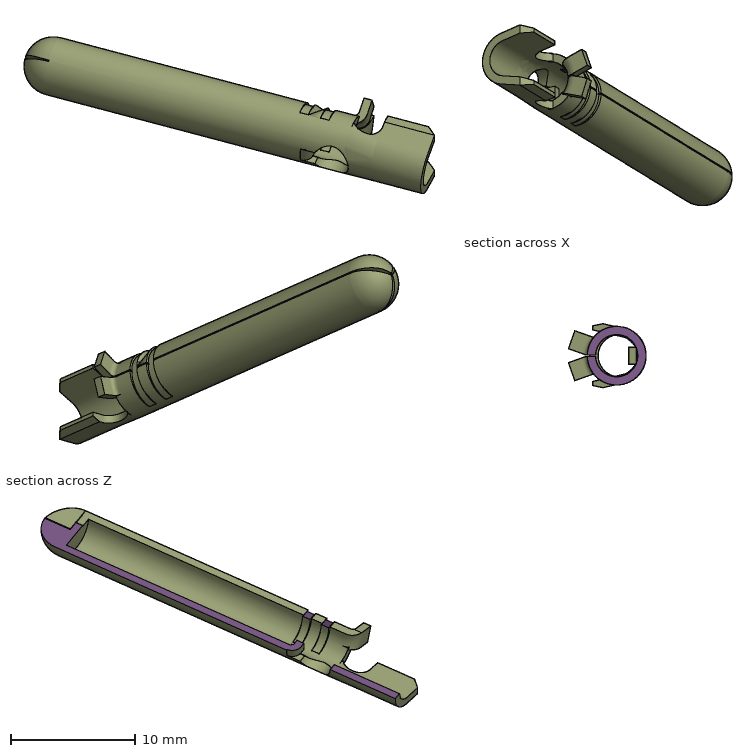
import cadquery as cq
import math

total_length = 34.35
sheet = 0.7
clear = 13.75
arc_middle = math.sqrt(0.5)

barrel_radius = 2.37
bore_radius = barrel_radius - sheet
bore_start = barrel_radius + sheet
barrel_end = 27.73
seam_gap = 0.1

slit_width = 0.3
slit_directions = (0, 120, 240)

band_width = 0.72
band_inset = 0.2
band_starts = (23.3, 25.05)

window_x = 26.7
window_radius = 1.5
lance_root = 24.12
lance_width = 1.37
lance_bend_radius = 0.82
lance_depth = 1.3

tab_bend_start = 27.25
tab_bend_radius = 0.35
tab_width = 1.55
tab_reach = 3.85
tab_angle = 19.5
tab_root_width = 2.2

crimp_start = 30.1
crimp_radius = 2.25
crimp_splay = 13
wing_top = 1.92
wing_widest = 1.1
wing_tip_drop = 0.17
wing_corner = 0.8

neck_floor = -0.258
neck_floor_x = 29.15
neck_left_top = 0.4
neck_corner_radius = crimp_start - neck_floor_x


def x_cylinder(radius, start, end, shift_y=0):
    """Cylinder along X between two X positions."""
    return cq.Workplane("YZ", origin=(start, shift_y, 0)).circle(radius).extrude(end - start)


def x_range_box(start, end, y_low, y_high, width):
    """Box centred on Z = 0 between the given X and Y limits."""
    return cq.Workplane("XY").box(end - start, y_high - y_low, width).translate(
        ((start + end) / 2, (y_low + y_high) / 2, 0)
    )


def make_barrel():
    """Round-nosed tube, with the wall removed where the tabs bend away."""
    tube = (
        cq.Workplane("XY")
        .moveTo(0, 0)
        .threePointArc(
            (barrel_radius * (1 - arc_middle), barrel_radius * arc_middle),
            (barrel_radius, barrel_radius),
        )
        .lineTo(barrel_end, barrel_radius)
        .lineTo(barrel_end, bore_radius)
        .lineTo(bore_start, bore_radius)
        .lineTo(bore_start, 0)
        .close()
        .revolve(360, (0, 0, 0), (1, 0, 0))
    )
    return tube.cut(x_range_box(tab_bend_start, barrel_end, 0, clear, tab_root_width))


def nose_slit(direction):
    """Slit from the nose axis to the surface, widest half way, as deep as the nose is long."""
    half = slit_width / 2
    end_half = seam_gap / 2
    lens = (
        cq.Workplane("YZ")
        .moveTo(0, end_half)
        .threePointArc((barrel_radius / 2, half), (barrel_radius, end_half))
        .lineTo(barrel_radius, -end_half)
        .threePointArc((barrel_radius / 2, -half), (0, -end_half))
        .close()
        .extrude(barrel_radius)
    )
    return lens.rotate((0, 0, 0), (1, 0, 0), direction)


def band_space(start):
    """The +Y half of space over one band's length."""
    return x_range_box(start, start + band_width, 0, clear, clear)


def make_band(start):
    """Half ring closing the +Y side of the barrel, set inward to leave a shallow groove outside."""
    end = start + band_width
    ring = x_cylinder(barrel_radius, start, end, -band_inset)
    ring = ring.cut(x_cylinder(bore_radius, start, end, -band_inset))
    return ring.intersect(band_space(start))


def window_cut():
    hole = cq.Workplane("XZ", origin=(window_x, 0, 0)).circle(window_radius).extrude(clear)
    notch = x_range_box(lance_root, window_x, -clear, 0, lance_width)
    return hole.union(notch)


def make_lance():
    """Flat strip bent a quarter turn into the bore, flush with the long edges of its notch."""
    outer = -math.sqrt(barrel_radius**2 - lance_width**2 / 4)
    inner = outer + sheet
    centre_y = outer + lance_bend_radius
    inner_radius = lance_bend_radius - sheet
    lance_end = outer + lance_depth
    return (
        cq.Workplane("XY", origin=(0, 0, -lance_width / 2))
        .moveTo(lance_root, outer)
        .threePointArc(
            (lance_root + lance_bend_radius * arc_middle, centre_y - lance_bend_radius * arc_middle),
            (lance_root + lance_bend_radius, centre_y),
        )
        .lineTo(lance_root + lance_bend_radius, lance_end)
        .lineTo(lance_root + inner_radius, lance_end)
        .lineTo(lance_root + inner_radius, centre_y)
        .threePointArc(
            (lance_root + inner_radius * arc_middle, centre_y - inner_radius * arc_middle),
            (lance_root, inner),
        )
        .close()
        .extrude(lance_width)
    )


def make_tab(side):
    """Tab flared outward from the barrel end; side is +1 or -1 along Z."""
    face = tab_bend_start + tab_bend_radius
    outer_bend = tab_bend_radius + sheet
    centre_r = barrel_radius + tab_bend_radius
    flare = (
        cq.Workplane("XY")
        .moveTo(tab_bend_start, bore_radius)
        .threePointArc(
            (tab_bend_start + outer_bend * arc_middle, centre_r - outer_bend * arc_middle),
            (tab_bend_start + outer_bend, centre_r),
        )
        .lineTo(tab_bend_start + outer_bend, tab_reach + sheet)
        .lineTo(face, tab_reach + sheet)
        .lineTo(face, centre_r)
        .threePointArc(
            (tab_bend_start + tab_bend_radius * arc_middle, centre_r - tab_bend_radius * arc_middle),
            (tab_bend_start, barrel_radius),
        )
        .close()
        .revolve(360, (0, 0, 0), (1, 0, 0))
    )
    blank = x_range_box(tab_bend_start, total_length, 0, tab_reach, tab_width)
    blank = blank.rotate((0, 0, 0), (1, 0, 0), side * tab_angle)
    return flare.intersect(blank)


def u_section(start, radius, splay, top):
    """Closed U outline in a YZ plane: a round floor with two straight walls leaning outward."""
    lean = math.radians(splay)
    centre_y = radius - barrel_radius

    def wall_points(r):
        low = (centre_y - r * math.sin(lean), r * math.cos(lean))
        return low, (top, low[1] + (top - low[0]) * math.tan(lean))

    outer_low, outer_top = wall_points(radius)
    inner_low, inner_top = wall_points(radius - sheet)
    return (
        cq.Workplane("YZ", origin=(start, 0, 0))
        .moveTo(*outer_top)
        .lineTo(*outer_low)
        .threePointArc((-barrel_radius, 0), (outer_low[0], -outer_low[1]))
        .lineTo(outer_top[0], -outer_top[1])
        .lineTo(inner_top[0], -inner_top[1])
        .lineTo(inner_low[0], -inner_low[1])
        .threePointArc((sheet - barrel_radius, 0), inner_low)
        .lineTo(*inner_top)
        .close()
    )


def make_neck():
    """Transition from the barrel's lower half to the crimp, with the opening above it."""
    barrel_side = u_section(barrel_end, barrel_radius, 0, neck_left_top).wire().val()
    crimp_side = u_section(crimp_start, crimp_radius, crimp_splay, wing_widest).wire().val()
    neck = cq.Workplane(cq.Solid.makeLoft([barrel_side, crimp_side], True))
    rise = neck_left_top - neck_floor
    run = neck_floor_x - barrel_end
    left_radius = (rise**2 + run**2) / (2 * rise)
    half_angle = math.atan2(run, left_radius - rise) / 2
    left_mid = (
        neck_floor_x - left_radius * math.sin(half_angle),
        neck_floor + left_radius * (1 - math.cos(half_angle)),
    )
    right_mid = (
        neck_floor_x + neck_corner_radius * arc_middle,
        neck_floor + neck_corner_radius * (1 - arc_middle),
    )
    opening = (
        cq.Workplane("XY", origin=(0, 0, -clear / 2))
        .moveTo(barrel_end, neck_left_top)
        .threePointArc(left_mid, (neck_floor_x, neck_floor))
        .threePointArc(right_mid, (crimp_start, neck_floor + neck_corner_radius))
        .lineTo(crimp_start, clear)
        .lineTo(barrel_end, clear)
        .close()
        .extrude(clear)
    )
    return neck.cut(opening)


def make_crimp():
    """U crimp with bevelled wing tips and clipped rear corners."""
    crimp = u_section(crimp_start, crimp_radius, crimp_splay, wing_top).extrude(total_length - crimp_start)
    lean = math.radians(crimp_splay)
    widest = crimp_radius / math.cos(lean) + (wing_widest - crimp_radius + barrel_radius) * math.tan(lean)
    tip = widest - wing_tip_drop
    envelope = (
        cq.Workplane("YZ", origin=(crimp_start, 0, 0))
        .polyline(
            [
                (-clear, -widest), (wing_widest, -widest), (wing_top, -tip),
                (wing_top, tip), (wing_widest, widest), (-clear, widest),
            ]
        )
        .close()
        .extrude(total_length - crimp_start)
    )
    corner = (
        cq.Workplane("XY", origin=(0, 0, -clear / 2))
        .polyline(
            [
                (total_length, wing_widest),
                (total_length, wing_top),
                (total_length - wing_corner, wing_top),
            ]
        )
        .close()
        .extrude(clear)
    )
    return crimp.intersect(envelope).cut(corner)


def make_contact():
    """The one-piece sheet metal contact."""
    contact = make_barrel().union(make_neck()).union(make_crimp())
    for side in (1, -1):
        contact = contact.union(make_tab(side))
    seam = x_range_box(barrel_radius, total_length, bore_radius / 2, clear, seam_gap)
    contact = contact.cut(seam).cut(window_cut()).union(make_lance())
    for direction in slit_directions:
        contact = contact.cut(nose_slit(direction))
    for start in band_starts:
        contact = contact.cut(band_space(start))
    return contact


contact = make_contact()
bands = [make_band(start) for start in band_starts]
result = cq.Compound.makeCompound([contact.val(), *[band.val() for band in bands]])